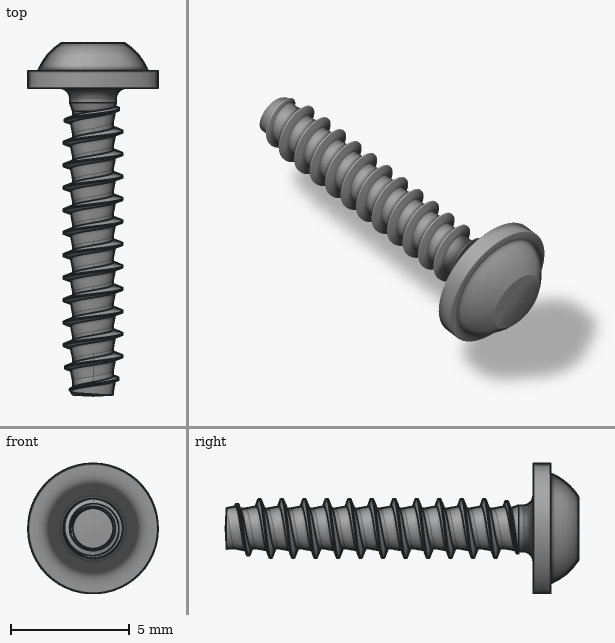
import cadquery as cq
import math

length = 14.9

flange_diameter = 5.5
flange_thickness = 0.75
flange_edge_radius = 0.05
dome_base_radius = 2.32
dome_top_radius = 1.33
dome_height = 1.18

shank_radius = 0.98
shank_length = 0.61
underhead_fillet = 0.4
core_radius = 0.85
neck_taper_length = 0.36
tip_cone_height = 0.05

thread_length = 12.8
crest_height = 0.4
crest_width = 0.06
shoulder_height = 0.09
head_flank_slope = 0.37
tip_flank_slope = 0.33
shoulder_slope = 5.2
tip_taper_slope = 1.5
root_overlap = 0.01
run_in_turns = 1.5
full_turns = 10.5
run_out_turns = 1.5
run_in_start_ratio = 0.14
last_crest_y = 0.01
points_per_turn = 16

flange_radius = flange_diameter / 2
seat_y = length - dome_height - flange_thickness
flange_top_y = length - dome_height
shank_end_y = seat_y - shank_length
total_turns = run_in_turns + full_turns + run_out_turns
pitch = thread_length / total_turns
first_crest_y = last_crest_y + thread_length


def make_body():
    """Head, shank and plain core as one turned solid."""
    centre_offset = (dome_top_radius**2 + dome_height**2 - dome_base_radius**2) / (2 * dome_height)
    sphere_radius = math.hypot(dome_base_radius, centre_offset)
    middle_y = dome_height / 2
    middle_radius = math.sqrt(sphere_radius**2 - (middle_y - centre_offset) ** 2)
    diagonal = underhead_fillet * (1 - math.sqrt(0.5))
    profile = (
        cq.Workplane("ZY")
        .moveTo(0, 0)
        .lineTo(core_radius, tip_cone_height)
        .lineTo(core_radius, shank_end_y - neck_taper_length)
        .lineTo(shank_radius, shank_end_y)
        .lineTo(shank_radius, seat_y - underhead_fillet)
        .threePointArc(
            (shank_radius + diagonal, seat_y - diagonal),
            (shank_radius + underhead_fillet, seat_y),
        )
        .lineTo(flange_radius, seat_y)
        .lineTo(flange_radius, flange_top_y)
        .lineTo(dome_base_radius, flange_top_y)
        .threePointArc((middle_radius, flange_top_y + middle_y), (dome_top_radius, length))
        .lineTo(0, length)
        .close()
    )
    body = profile.revolve(360, (0, 0, 0), (0, 1, 0))
    flange_rims = cq.selectors.RadiusNthSelector(-1)
    return body.edges("%CIRCLE").edges(flange_rims).fillet(flange_edge_radius)


def crest_ratio(turn):
    """Share of the full crest height above the shoulder, after the given number of turns."""
    run_in = run_in_start_ratio + (1 - run_in_start_ratio) * turn / run_in_turns
    run_out = (total_turns - turn) / run_out_turns
    return min(1, run_in, run_out)


def thread_section(turn):
    """Corners (offset, height) of the ridge: an offset is measured from the crest line towards the
    tip, a height from the core. The steep flanks get shorter as the crest sinks into the shoulder."""
    half_crest = crest_width / 2
    flank_height = (crest_height - shoulder_height) * crest_ratio(turn)
    top = shoulder_height + flank_height
    head_flank_length = (top + root_overlap) * head_flank_slope
    tip_flank_length = flank_height * tip_flank_slope
    shoulder_drop = shoulder_height + root_overlap
    return [
        (-half_crest - head_flank_length, -root_overlap),
        (-half_crest, top),
        (half_crest, top),
        (half_crest + tip_flank_length, shoulder_height),
        (half_crest + tip_flank_length + shoulder_drop * shoulder_slope, -root_overlap),
    ]


def thread_corners(turn):
    """Corners of the ridge section in space after the given number of turns."""
    angle = 2 * math.pi * turn
    crest_y = first_crest_y - pitch * turn
    corners = []
    for offset, height in thread_section(turn):
        radius = core_radius + height
        corners.append(cq.Vector(-radius * math.sin(angle), crest_y - offset, radius * math.cos(angle)))
    return corners


def helix_edges(start, turns):
    """Helical edges traced by the section corners over a stretch of the thread."""
    steps = round(turns * points_per_turn)
    sections = [thread_corners(start + turns * i / steps) for i in range(steps + 1)]
    return [cq.Edge.makeSpline(list(track)) for track in zip(*sections)]


def make_ridge():
    """Uncut thread ridge, rising over the run-in and fading over the run-out."""
    faces = []
    start = 0
    for turns in (run_in_turns, full_turns, run_out_turns):
        edges = helix_edges(start, turns)
        for edge, next_edge in zip(edges, edges[1:] + edges[:1]):
            faces.append(cq.Face.makeRuledSurface(edge, next_edge))
        start += turns
    for turn in (0, total_turns):
        outline = cq.Wire.makePolygon(thread_corners(turn), close=True)
        faces.append(cq.Face.makeFromWires(outline))
    return cq.Solid.makeSolid(cq.Shell.makeShell(faces))


def make_thread():
    """Thread ridge cut flat at the shank and tapered at the tip."""
    taper_growth = flange_radius - core_radius
    envelope = (
        cq.Workplane("ZY")
        .moveTo(0, tip_cone_height)
        .lineTo(core_radius, tip_cone_height)
        .lineTo(flange_radius, tip_cone_height + taper_growth * tip_taper_slope)
        .lineTo(flange_radius, shank_end_y)
        .lineTo(0, shank_end_y)
        .close()
        .revolve(360, (0, 0, 0), (0, 1, 0))
    )
    return cq.Workplane(make_ridge()).intersect(envelope)


result = make_body().union(make_thread())